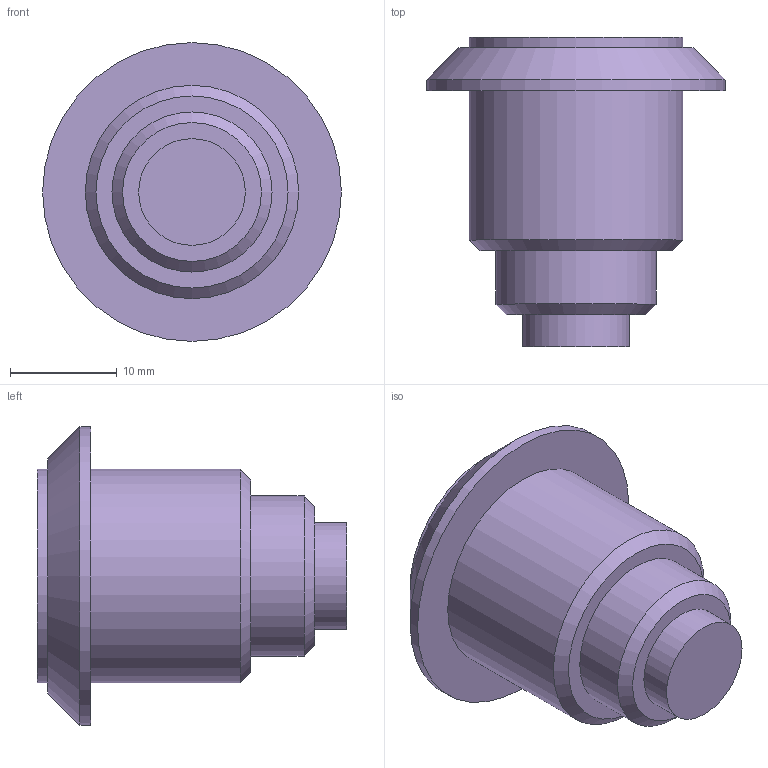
import cadquery as cq

pin_diameter = 10.0
pin_length = 3.0
neck_diameter = 15.0
neck_length = 6.0
body_diameter = 20.0
body_length = 15.0
step_chamfer = 1.0
flange_diameter = 28.0
flange_rim_length = 1.0
flange_bevel = 3.0
cap_diameter = body_diameter
cap_length = 1.0

seat_y = 0.0
body_end_y = seat_y - body_length
neck_end_y = body_end_y - neck_length
pin_end_y = neck_end_y - pin_length
flange_length = flange_rim_length + flange_bevel
flange_top_y = seat_y + flange_length


def cylinder(diameter, start_y, length):
    """Solid cylinder about the Y axis, from start_y toward +Y."""
    return cq.Workplane("XZ").workplane(offset=-start_y).circle(diameter / 2).extrude(-length)


def chamfered_step(diameter, end_y, length):
    """Cylinder whose outer edge at its -Y end is chamfered."""
    return cylinder(diameter, end_y, length).faces("<Y").edges().chamfer(step_chamfer)


def flange():
    """Disc with a short straight rim and a 45 degree bevel on its +Y side."""
    disc = cylinder(flange_diameter, seat_y, flange_length)
    return disc.faces(">Y").edges().chamfer(flange_bevel)


pin = cylinder(pin_diameter, pin_end_y, pin_length)
neck = chamfered_step(neck_diameter, neck_end_y, neck_length)
body = chamfered_step(body_diameter, body_end_y, body_length)
cap = cylinder(cap_diameter, flange_top_y, cap_length)

result = flange().union(body).union(neck).union(pin).union(cap)